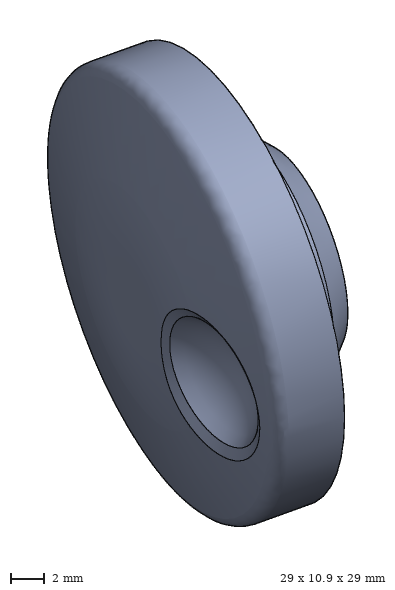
import cadquery as cq
import math

total_depth = 10.9
disc_radius = 14.5
disc_back = 6.38
flat_radius = 3.15
dome_radius = 50.0
blend_end_radius = 7.9
blend_end_depth = 0.38
rim_fillet = 1.0

boss_radius = 17.0 / 2
boss_chamfer = 2.0

dimple_offset = 8.2
dimple_ball_radius = 5.0
dimple_edge_radius = 4.25
dimple_rim_radius = 4.93
rim_slope = 30.0


def dome_depth(radius):
    """Depth of the spherical dome behind the front flat."""
    blend_end_rise = math.sqrt(dome_radius**2 - blend_end_radius**2)
    return blend_end_depth + blend_end_rise - math.sqrt(dome_radius**2 - radius**2)


def make_disc():
    """Disc with a flat centre blended tangentially into a spherical dome."""
    middle_radius = (blend_end_radius + disc_radius) / 2
    disc = (
        cq.Workplane("XY")
        .lineTo(flat_radius, 0)
        .tangentArcPoint((blend_end_radius, blend_end_depth), relative=False)
        .threePointArc(
            (middle_radius, dome_depth(middle_radius)),
            (disc_radius, dome_depth(disc_radius)),
        )
        .lineTo(disc_radius, disc_back)
        .lineTo(0, disc_back)
        .close()
        .revolve(360, (0, 0, 0), (0, 1, 0))
    )
    rim_centre = (0, dome_depth(disc_radius), 0)
    return disc.edges(cq.selectors.NearestToPointSelector(rim_centre)).fillet(rim_fillet)


def make_boss():
    """Round boss on the back with a chamfered end."""
    return (
        cq.Workplane("XZ", origin=(0, disc_back, 0))
        .circle(boss_radius)
        .extrude(disc_back - total_depth)
        .faces(">Y")
        .chamfer(boss_chamfer)
    )


def make_dimple_cutter():
    """Spherical finger dimple with a bevelled rim, square to the dome."""
    slope = math.tan(math.radians(rim_slope))
    rim_depth = dome_radius - math.sqrt(dome_radius**2 - dimple_rim_radius**2)
    edge_depth = rim_depth + (dimple_rim_radius - dimple_edge_radius) * slope
    edge_rise = math.sqrt(dimple_ball_radius**2 - dimple_edge_radius**2)
    ball_centre = edge_depth - edge_rise
    half_edge_angle = math.asin(dimple_edge_radius / dimple_ball_radius) / 2
    clearance = 0.87
    cutter = (
        cq.Workplane("XY")
        .moveTo(0, -clearance)
        .lineTo(dimple_rim_radius + (rim_depth + clearance) / slope, -clearance)
        .lineTo(dimple_edge_radius, edge_depth)
        .threePointArc(
            (
                dimple_ball_radius * math.sin(half_edge_angle),
                ball_centre + dimple_ball_radius * math.cos(half_edge_angle),
            ),
            (0, ball_centre + dimple_ball_radius),
        )
        .close()
        .revolve(360, (0, 0, 0), (0, 1, 0))
    )
    tilt = math.degrees(math.asin(dimple_offset / dome_radius))
    return (
        cutter.rotate((0, 0, 0), (0, 0, 1), tilt)
        .translate((dimple_offset, dome_depth(dimple_offset), 0))
    )


result = make_disc().union(make_boss()).cut(make_dimple_cutter())